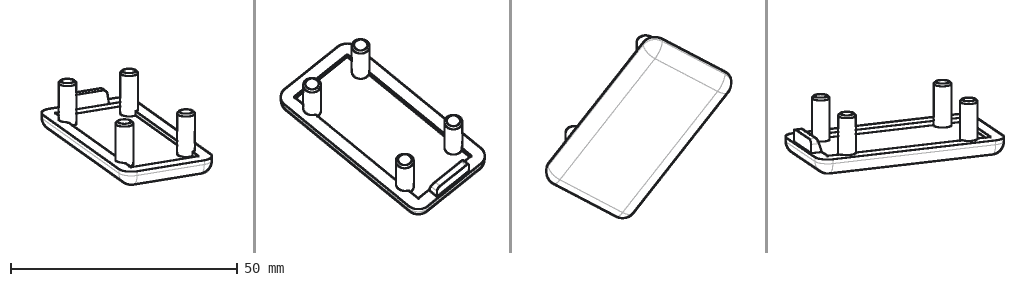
import cadquery as cq

length = 45.0
width = 22.5
plate_height = 4.0
edge_radius = 3.0
total_height = 13.0

rim = 2.95
recess_depth = 1.0

pin_diameter = 3.95
pin_spacing_x = 29.15
pin_spacing_y = 15.1
pin_chamfer = 0.5

tab_inset = 0.4
tab_base_length = 2.55
tab_top_length = 1.58
tab_width = 10.0
tab_height = 3.0
tab_corner_radius = 1.0


def make_plate():
    """Plate with rounded corners and underside, standing on Z = 0."""
    plate = cq.Workplane("XY").box(length, width, plate_height, centered=(True, True, False))
    return plate.edges("|Z").fillet(edge_radius).faces("<Z").edges().fillet(edge_radius)


def make_recess():
    """Rectangular volume removed from the top face."""
    return (
        cq.Workplane("XY")
        .workplane(offset=plate_height - recess_depth)
        .rect(length - 2 * rim, width - 2 * rim)
        .extrude(recess_depth)
    )


def make_pins():
    """Four chamfered pins rising from the recess floor."""
    floor = plate_height - recess_depth
    return (
        cq.Workplane("XY")
        .workplane(offset=floor)
        .rect(pin_spacing_x, pin_spacing_y, forConstruction=True)
        .vertices()
        .circle(pin_diameter / 2)
        .extrude(total_height - floor)
        .faces(">Z")
        .edges()
        .chamfer(pin_chamfer)
    )


def make_tab():
    """Upright tab with a sloped inner face and rounded top corners."""
    outer_x = -length / 2 + tab_inset
    top_z = plate_height + tab_height
    profile = [
        (outer_x, plate_height),
        (outer_x + tab_base_length, plate_height),
        (outer_x + tab_top_length, top_z),
        (outer_x, top_z),
    ]
    tab = cq.Workplane("XZ").polyline(profile).close().extrude(tab_width / 2, both=True)
    return tab.faces(">Z").edges("|X").fillet(tab_corner_radius)


result = make_plate().cut(make_recess()).union(make_pins()).union(make_tab())